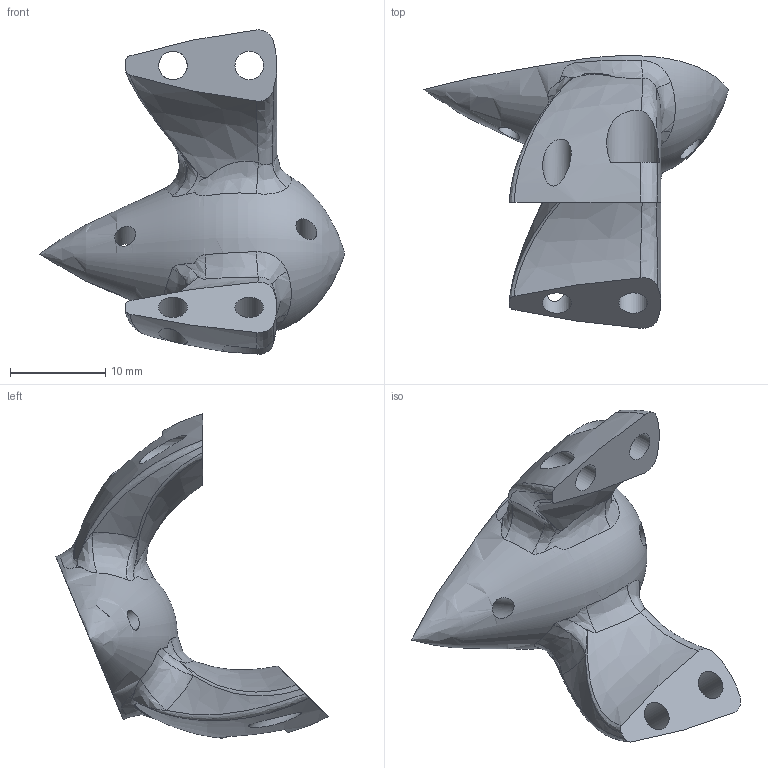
import cadquery as cq
import math

TILT = 22.5

BODY_LENGTH = 32.0
BODY_MAX_RADIUS = 9.22
BODY_PROFILE = [
    (0, 0),
    (4.7, 2.97),
    (10.1, 5.5),
    (22.5, BODY_MAX_RADIUS),
    (26.5, 8.0),
    (29.4, 5.35),
    (BODY_LENGTH, 0),
]
BODY_HOLE_DIAMETER = 2.2
BODY_HOLE_X = (9.0, 28.0)

JOINT_DEPTH = 18.53
JOINT_RISE = 13.72
PATH_SEMI_DEPTH = 15.7
ROOT_ANGLE = 19.0
JOINT_ANGLE = 90.0
SECTION_COUNT = 6

LEADING_X = 24.9
LEADING_BULGE = 0.9
LEADING_HALF = 3.86
LEADING_HALF_LOSS = 0.5
LEADING_CORNER = 1.6
CHORD = 15.9
CHORD_LOSS = 8.4
INNER_SETBACK = 2.1
TRAILING_HALF = 0.85
TRAILING_HALF_GAIN = 2.9
TRAILING_CORNER = 0.7
TRAILING_CORNER_LOSS = 0.6
SIDE_BOW = 0.4
ROOT_FILLET = 3.0
ROOT_ZONE_MARGIN = 1.0

BOLT_DIAMETER = 3.0
BOLT_LENGTH = 16.0
REAR_BOLT_X = 14.0
FRONT_BOLT_X = 22.0
HEAD_DIAMETER = 5.6
HEAD_SEAT = 4.2


def make_body():
    profile = cq.Workplane("XZ").moveTo(0, 0).spline(BODY_PROFILE[1:], includeCurrent=True).close()
    return profile.revolve(180, (0, 0, 0), (1, 0, 0))


def arm_plane(path_angle):
    """Section plane on the arm path; it leans by the tilt angle at the joint."""
    angle = math.radians(path_angle)
    depth = JOINT_DEPTH - PATH_SEMI_DEPTH * math.cos(angle)
    rise = JOINT_RISE * math.sin(angle)
    heading = math.atan2(JOINT_RISE * math.cos(angle), PATH_SEMI_DEPTH * math.sin(angle))
    share = (path_angle - ROOT_ANGLE) / (JOINT_ANGLE - ROOT_ANGLE)
    heading -= math.radians(TILT) * share**2
    normal = (0, -math.cos(heading), math.sin(heading))
    return cq.Plane(origin=(0, -depth, rise), xDir=(1, 0, 0), normal=normal)


def arm_section(path_angle):
    rootward = math.cos(math.radians(path_angle))
    growth = rootward**2
    outer_x = LEADING_X - CHORD + CHORD_LOSS * growth
    inner_x = outer_x + INNER_SETBACK * rootward
    corner_x = LEADING_X - LEADING_BULGE
    trailing_half = TRAILING_HALF + TRAILING_HALF_GAIN * growth
    leading_half = LEADING_HALF - LEADING_HALF_LOSS * growth
    bow_half = (trailing_half + leading_half) / 2 + SIDE_BOW
    outline = (
        cq.Workplane(arm_plane(path_angle))
        .moveTo(inner_x, -trailing_half)
        .threePointArc(((inner_x + corner_x) / 2, -bow_half), (corner_x, -leading_half))
        .threePointArc((LEADING_X, 0), (corner_x, leading_half))
        .threePointArc(((outer_x + corner_x) / 2, bow_half), (outer_x, trailing_half))
        .close()
    )
    face = cq.Face.makeFromWires(outline.val())
    middle_x = (inner_x + corner_x) / 2
    trailing_corners = [v for v in face.Vertices() if v.X < middle_x]
    face = face.fillet2D(TRAILING_CORNER - TRAILING_CORNER_LOSS * growth, trailing_corners)
    leading_corners = [v for v in face.Vertices() if v.X > middle_x]
    return face.fillet2D(LEADING_CORNER, leading_corners).outerWire()


def make_arm():
    step = (JOINT_ANGLE - ROOT_ANGLE) / (SECTION_COUNT - 1)
    sections = [arm_section(ROOT_ANGLE + i * step) for i in range(SECTION_COUNT)]
    return cq.Workplane(cq.Solid.makeLoft(sections))


def joint_holes():
    face = cq.Workplane(arm_plane(JOINT_ANGLE))
    bolts = face.pushPoints([(REAR_BOLT_X, 0), (FRONT_BOLT_X, 0)])
    bolts = bolts.circle(BOLT_DIAMETER / 2).extrude(-BOLT_LENGTH)
    head = face.workplane(offset=-HEAD_SEAT).center(FRONT_BOLT_X, 0).circle(HEAD_DIAMETER / 2)
    return bolts.union(head.extrude(HEAD_SEAT - BOLT_LENGTH))


def body_holes():
    centres = [(x, 0) for x in BODY_HOLE_X]
    return cq.Workplane("XZ").pushPoints(centres).circle(BODY_HOLE_DIAMETER / 2).extrude(BODY_MAX_RADIUS)


def fillet_arm_root(part, side):
    """Round the edges where one arm leaves the body; side is +1 for the upper arm, -1 for the lower."""
    near = (ROOT_ZONE_MARGIN, -ROOT_ZONE_MARGIN, side * ROOT_ZONE_MARGIN)
    far = (BODY_LENGTH - ROOT_ZONE_MARGIN, -BODY_MAX_RADIUS, side * (BODY_MAX_RADIUS + ROOT_ZONE_MARGIN))
    root_edges = part.edges(cq.selectors.BoxSelector(near, far, boundingbox=True))
    return root_edges.fillet(ROOT_FILLET)


arm = make_arm()
holes = joint_holes()
part = make_body().union(arm).union(arm.mirror("XY"))
for side in (1, -1):
    part = fillet_arm_root(part, side)
part = part.cut(holes).cut(holes.mirror("XY")).cut(body_holes())
result = part.rotate((0, 0, 0), (1, 0, 0), -TILT)